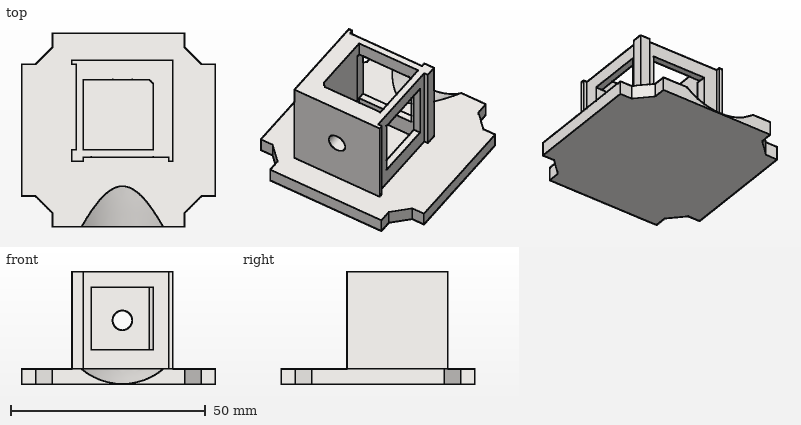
import cadquery as cq

plate_size = 49.8
plate_thickness = 4.0
notch_size = 7.9
notch_step = 3.6

tower_size = 26.0
tower_height = 25.0
tower_left = -12.0
tower_front = -8.0
tower_back = tower_front + tower_size
tower_middle_x = tower_left + tower_size / 2
tower_middle_z = plate_thickness + tower_height / 2

recess_depth = 1.1
wide_strip = 3.0
narrow_strip = 1.05
recess_length = tower_size - wide_strip - narrow_strip

cavity_size = 18.0
cavity_offset = 3.0
cavity_chamfer = 1.05
cavity_left = tower_left + cavity_offset
cavity_front = tower_front + cavity_offset
cavity_right = cavity_left + cavity_size
cavity_back = cavity_front + cavity_size

window_size = 16.0
window_sill = 5.0
window_cut_depth = 4.0
window_overcut = 0.025
window_right = cavity_right + window_overcut
window_back = cavity_back + window_overcut

hole_diameter = 5.0
cone_front_radius = 16.35


def box(x, y, z, length, width, height):
    """Box with its lowest corner at (x, y, z)."""
    return cq.Workplane("XY").box(length, width, height, centered=False).translate((x, y, z))


def make_plate():
    """Square plate with a stepped, slanted notch at every corner."""
    edge = plate_size / 2
    inner = edge - notch_size
    step = edge - notch_step
    plate = cq.Workplane("XY").rect(plate_size, plate_size).extrude(plate_thickness)
    for sx in (-1, 1):
        for sy in (-1, 1):
            corner = [(inner, edge), (inner, step), (step, inner), (edge, inner), (edge, edge)]
            points = [(sx * x, sy * y) for x, y in corner]
            plate = plate.cut(cq.Workplane("XY").polyline(points).close().extrude(plate_thickness))
    return plate


def make_view_cone():
    """Cone about the hole axis, from the cavity's back wall to the plate's front edge."""
    front = -plate_size / 2
    profile = [
        (tower_middle_x, cavity_back),
        (tower_middle_x + hole_diameter / 2, cavity_back),
        (tower_middle_x + cone_front_radius, front),
        (tower_middle_x, front),
    ]
    return (
        cq.Workplane("XY", origin=(0, 0, tower_middle_z))
        .polyline(profile)
        .close()
        .revolve(360, (tower_middle_x, 0), (tower_middle_x, 1))
    )


def make_tower():
    """Tower with recessed faces, cavity, two windows and the back hole."""
    base = plate_thickness
    tower = box(tower_left, tower_front, base, tower_size, tower_size, tower_height)

    left_recess = box(tower_left, tower_front + wide_strip, base, recess_depth, recess_length, tower_height)
    front_recess = box(tower_left + wide_strip, tower_front, base, recess_length, recess_depth, tower_height)

    cavity = box(cavity_left, cavity_front, base, cavity_size, cavity_size, tower_height)
    cavity = cavity.edges("|Z and >X and >Y").chamfer(cavity_chamfer)

    window_z = base + window_sill
    front_window = box(
        window_right - window_size, tower_front, window_z, window_size, window_cut_depth, window_size
    )
    left_window = box(
        tower_left, window_back - window_size, window_z, window_cut_depth, window_size, window_size
    )

    hole = (
        cq.Workplane("XZ", origin=(tower_middle_x, tower_back, tower_middle_z))
        .circle(hole_diameter / 2)
        .extrude(tower_back - cavity_back)
    )

    for cutter in (left_recess, front_recess, cavity, front_window, left_window, hole):
        tower = tower.cut(cutter)
    return tower


result = make_plate().cut(make_view_cone()).union(make_tower())